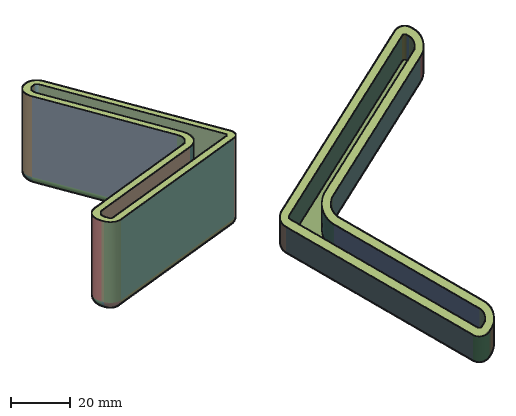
import cadquery as cq

leg_length = 81.0
leg_width = 12.0
height = 33.0
wall = 3.0
outer_radius = 4.05
end_radius = 7.0
bend_radius = 5.5
floor_edge_radius = 3.0


def rounded_l(inset, base_z, depth):
    """L-shaped prism whose outline lies a given distance inside the outer outline."""
    near = inset
    far = leg_length - inset
    inside_face = leg_length - leg_width + inset
    corners = [
        (near, far),
        (far, far),
        (far, near),
        (inside_face, near),
        (inside_face, inside_face),
        (near, inside_face),
    ]
    body = cq.Workplane("XY").workplane(offset=base_z).polyline(corners).close().extrude(depth)

    def round_corners(solid, points, radius):
        mid_z = base_z + depth / 2
        edges = cq.Workplane("XY")
        for x, y in points:
            edge = solid.edges("|Z").edges(cq.NearestToPointSelector((x, y, mid_z)))
            edges = edges.add(edge)
        return cq.Workplane(solid.val().fillet(radius, edges.vals()))

    body = round_corners(body, corners[:3], outer_radius - inset)
    body = round_corners(body, [corners[3], corners[5]], end_radius - inset)
    return round_corners(body, [corners[4]], bend_radius + inset)


shell = rounded_l(0, 0, height).faces("<Z").edges().fillet(floor_edge_radius)

cavity = rounded_l(wall, wall, height - wall)

result = shell.cut(cavity)